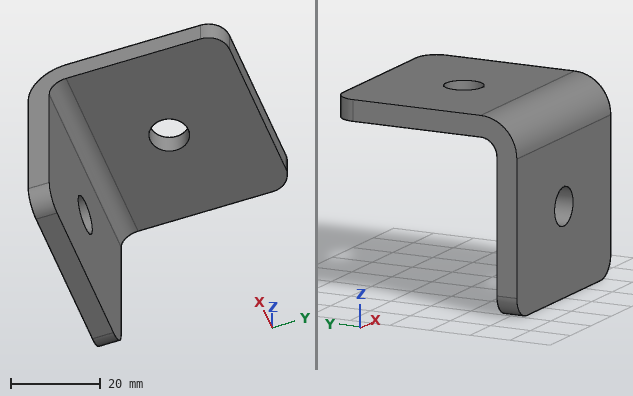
import cadquery as cq

side = 46.0
thickness = 5.0
inner_bend_radius = 4.0
outer_bend_radius = inner_bend_radius + thickness
corner_radius = 5.0
hole_diameter = 9.0
hole_edge_distance = 21.0

hole_offset = side - hole_edge_distance


def bent_sheet():
    """L-shaped sheet, centred on X, with concentric bend radii."""
    sheet = (
        cq.Workplane("YZ")
        .polyline([
            (0, 0),
            (side, 0),
            (side, -thickness),
            (thickness, -thickness),
            (thickness, -side),
            (0, -side),
        ])
        .close()
        .extrude(side / 2, both=True)
    )
    outer_bend = cq.selectors.NearestToPointSelector((0, 0, 0))
    inner_bend = cq.selectors.NearestToPointSelector((0, thickness, -thickness))
    sheet = sheet.edges("|X").edges(outer_bend).fillet(outer_bend_radius)
    return sheet.edges("|X").edges(inner_bend).fillet(inner_bend_radius)


def round_free_corners(sheet):
    """Round the two outer corners at the end of each leg."""
    sheet = sheet.faces(">Y").edges("|Z").fillet(corner_radius)
    return sheet.faces("<Z").edges("|Y").fillet(corner_radius)


def leg_holes():
    """One through-hole cutter for each leg."""
    hole_radius = hole_diameter / 2
    top_hole = cq.Workplane("XY").center(0, hole_offset).circle(hole_radius).extrude(-thickness)
    front_hole = cq.Workplane("XZ").center(0, -hole_offset).circle(hole_radius).extrude(-thickness)
    return top_hole.union(front_hole)


result = round_free_corners(bent_sheet()).cut(leg_holes())